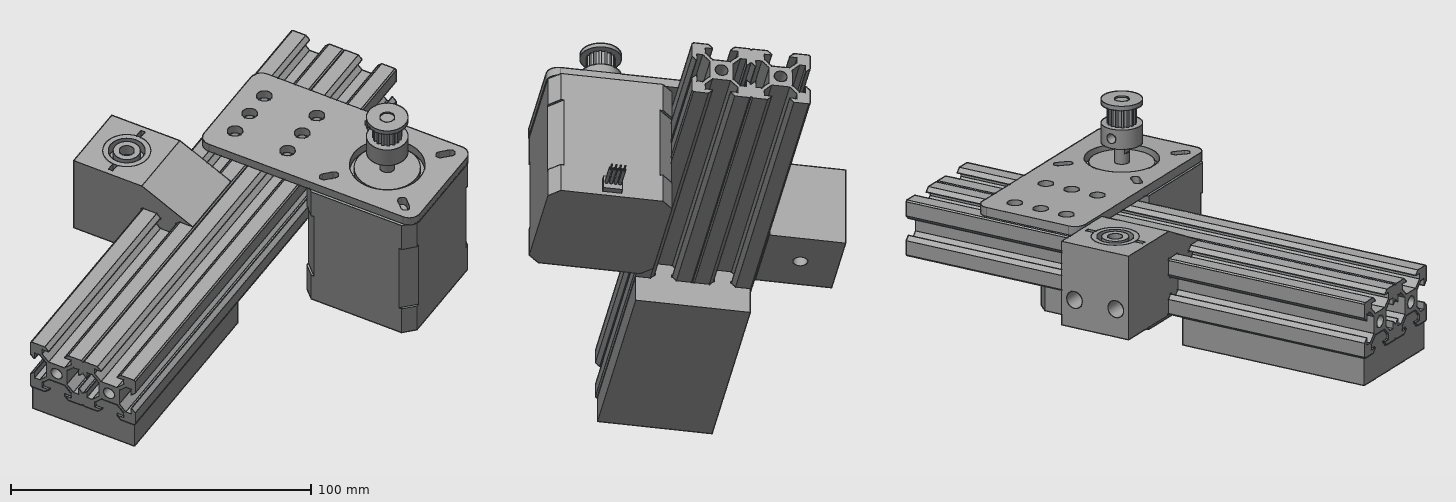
import cadquery as cq
import math

profile_length = 178.0
cell = 20.0
half_cell = cell / 2
slot_mouth_half = 4.5
slot_throat_half = 3.0
lip_thickness = 1.6
slot_room_half = 5.5
core_half = 4.0
rib_offset = core_half - slot_throat_half
core_bore_diameter = 4.3
corner_chamfer = 0.5
slide_clearance = 0.25

bearing_diameter = 16.0
bearing_height = 4.0
outer_race_bore = 12.3
inner_race_diameter = 9.0
shaft_diameter = 5.0

bracket_width = 26.0
bracket_top = cell
bracket_left = -cell - bracket_width
bearing_x = -cell - bracket_width / 2
pry_slot_width = 1.6
pry_slot_length = 22.0
pry_slot_depth = bearing_height
screw_head_diameter = 6.0
screw_diameter = 3.4
screw_spacing = 16.0
screw_head_seat = 5.3

foot_width = 38.8
foot_length = 70.5
foot_height = 10.0
foot_end_gap = 0.5

motor_width = 42.0
motor_height = 47.9
motor_gap = 1.5
motor_x = cell + motor_gap + motor_width / 2
motor_y = 42.7
motor_top = half_cell
end_cap_height = 10.7
end_cap_chamfer = 3.7
stack_chamfer = 4.8
boss_diameter = 22.0
boss_height = 2.0
motor_screw_half_pitch = 15.5
motor_screw_diameter = 2.5
motor_screw_depth = 4.5
drill_point_height = motor_screw_diameter / 2 * math.tan(math.radians(31))
shaft_length = 24.0
shaft_flat_start = 5.7
shaft_flat_depth = 0.5
plug_width = 6.4
plug_height = 4.8
plug_depth = 2.1
plug_z = -34.0
wire_count = 4
wire_pitch = 1.51
wire_diameter = 1.1
wire_length = 8.0
strand_diameter = 0.41
strand_length = 2.1

plate_thickness = 3.2
plate_left = -18.5
plate_right = motor_x + 21.4
plate_width = 2 * cell
plate_corner_radius = 4.1
plate_hole_diameter = 5.2
plate_window_diameter = 25.1
adjust_slot_width = 3.0
adjust_travel = 2.5

pulley_bottom = motor_top + plate_thickness + 5.9
pulley_diameter = 13.9
hub_height = 7.0
tooth_height = 7.0
flange_height = 1.6
tooth_tip_diameter = 9.8
tooth_count = 16
tooth_groove_diameter = 1.1
set_screw_diameter = 3.4

end_plane = cq.Workplane("XZ")


def cylinder(diameter, height, x, y, z):
    return cq.Workplane("XY", origin=(x, y, z)).circle(diameter / 2).extrude(height)


def t_slot(x, angle, growth):
    """One T-slot of the cell at x, turned about its centre. Growth thickens the metal around the slot."""
    mouth_rise = half_cell - slot_mouth_half + growth * math.sqrt(2)
    rib_rise = rib_offset + growth * math.sqrt(2)
    surface = half_cell + growth
    throat = slot_throat_half - growth
    room = slot_room_half - growth
    room_top = half_cell - lip_thickness - growth
    floor = core_half + growth
    right_side = [
        (surface - mouth_rise, surface),
        (throat, throat + mouth_rise),
        (throat, room_top),
        (room, room_top),
        (room, room + rib_rise),
        (floor - rib_rise, floor),
    ]
    left_side = [(-u, v) for u, v in reversed(right_side)]
    slot = end_plane.polyline(right_side + left_side).close().extrude(profile_length / 2, both=True)
    return slot.rotate((0, 0, 0), (0, 1, 0), angle).translate((x, 0, 0))


def make_cell(x, growth=0):
    width = cell + 2 * growth
    body = cq.Workplane("XY").box(width, profile_length, width).edges("|Y").chamfer(corner_chamfer)
    body = body.translate((x, 0, 0))
    for quarter in range(4):
        body = body.cut(t_slot(x, 90 * quarter, growth))
    return body


def make_profile():
    body = make_cell(-half_cell).union(make_cell(half_cell))
    bores = end_plane.rarray(cell, 1.8, 2, 1).circle(core_bore_diameter / 2).extrude(profile_length, both=True)
    return body.cut(bores)


def make_slide_fit():
    """The profile with its metal grown by the sliding clearance."""
    return make_cell(-half_cell, slide_clearance).union(make_cell(half_cell, slide_clearance))


def make_bracket(slide_fit):
    outline = [
        (bracket_left, -half_cell),
        (-cell, -half_cell),
        (-half_cell, 0),
        (0, half_cell),
        (-cell, bracket_top),
        (bracket_left, bracket_top),
    ]
    body = end_plane.polyline(outline).close().extrude(bracket_width / 2, both=True)
    body = body.cut(slide_fit)
    seat_z = bracket_top - bearing_height
    body = body.cut(cylinder(bearing_diameter, bearing_height, bearing_x, 0, seat_z))
    body = body.cut(cylinder(shaft_diameter, 2 * cell, bearing_x, 0, -half_cell))
    pry_slots = cq.Workplane("XY").box(pry_slot_width, pry_slot_length, pry_slot_depth)
    body = body.cut(pry_slots.translate((bearing_x, 0, bracket_top - pry_slot_depth / 2)))
    screws = cq.Workplane("YZ", origin=(bracket_left, 0, 0)).rarray(screw_spacing, 1.8, 2, 1)
    body = body.cut(screws.circle(screw_head_diameter / 2).extrude(bracket_width - screw_head_seat))
    return body.cut(screws.circle(screw_diameter / 2).extrude(bracket_width + half_cell))


def make_race(outer, inner):
    seat = cq.Workplane("XY", origin=(bearing_x, 0, bracket_top - bearing_height))
    return seat.circle(outer / 2).circle(inner / 2).extrude(bearing_height)


def make_foot(slide_fit):
    outline = [
        (-foot_width / 2, -half_cell - foot_height),
        (foot_width / 2, -half_cell - foot_height),
        (foot_width / 2, -half_cell),
        (half_cell, 0),
        (0, -half_cell),
        (-half_cell, 0),
        (-foot_width / 2, -half_cell),
    ]
    front = -profile_length / 2 + foot_end_gap
    body = cq.Workplane("XZ", origin=(0, front, 0)).polyline(outline).close().extrude(-foot_length)
    return body.cut(slide_fit)


def make_plate():
    length = plate_right - plate_left
    body = (
        cq.Workplane("XY")
        .box(length, plate_width, plate_thickness)
        .edges("|Z")
        .fillet(plate_corner_radius)
        .translate((plate_left + length / 2, motor_y, motor_top + plate_thickness / 2))
    )
    underside = cq.Workplane("XY", origin=(0, motor_y, motor_top))
    holes = underside.rarray(cell, half_cell, 2, 3).circle(plate_hole_diameter / 2)
    body = body.cut(holes.extrude(plate_thickness))
    body = body.cut(cylinder(plate_window_diameter, plate_thickness, motor_x, motor_y, motor_top))
    slot_middle = motor_screw_half_pitch - adjust_travel / 2
    slot_length = adjust_travel * math.sqrt(2) + adjust_slot_width
    for side_x in (-1, 1):
        for side_y in (-1, 1):
            centre = (motor_x + side_x * slot_middle, motor_y + side_y * slot_middle, motor_top)
            slot = cq.Workplane("XY", origin=centre).slot2D(slot_length, adjust_slot_width, 45 * side_x * side_y)
            body = body.cut(slot.extrude(plate_thickness))
    return body


def motor_section(height, chamfer, bottom):
    section = cq.Workplane("XY").box(motor_width, motor_width, height, centered=(True, True, False))
    return section.edges("|Z").chamfer(chamfer).translate((motor_x, motor_y, bottom))


def make_motor_wires():
    back = motor_y + motor_width / 2
    plug = cq.Workplane("XZ", origin=(motor_x, back, plug_z)).rect(plug_width, plug_height).extrude(-plug_depth)
    wires = cq.Workplane("XZ", origin=(motor_x, back + plug_depth, plug_z)).rarray(wire_pitch, 1.8, wire_count, 1)
    plug = plug.union(wires.circle(wire_diameter / 2).extrude(-wire_length))
    return plug.union(wires.circle(strand_diameter / 2).extrude(-wire_length - strand_length))


def make_motor_shaft():
    shaft = cylinder(shaft_diameter, shaft_length, motor_x, motor_y, motor_top)
    flat_length = shaft_length - shaft_flat_start
    flat = cq.Workplane("XY").box(shaft_diameter, shaft_diameter, flat_length, centered=(True, True, False))
    flat_y = motor_y - shaft_diameter + shaft_flat_depth
    return shaft.cut(flat.translate((motor_x, flat_y, motor_top + shaft_flat_start)))


def make_motor():
    bottom = motor_top - motor_height
    body = motor_section(motor_height, stack_chamfer, bottom)
    body = body.union(motor_section(end_cap_height, end_cap_chamfer, bottom))
    body = body.union(motor_section(end_cap_height, end_cap_chamfer, motor_top - end_cap_height))
    body = body.union(cylinder(boss_diameter, boss_height, motor_x, motor_y, motor_top))
    hole_profile = [
        (0, 0),
        (motor_screw_diameter / 2, 0),
        (motor_screw_diameter / 2, -motor_screw_depth),
        (0, -motor_screw_depth - drill_point_height),
    ]
    hole = cq.Workplane("XZ").polyline(hole_profile).close().revolve(360, (0, 0), (0, 1))
    for side_x in (-1, 1):
        for side_y in (-1, 1):
            hole_x = motor_x + side_x * motor_screw_half_pitch
            hole_y = motor_y + side_y * motor_screw_half_pitch
            body = body.cut(hole.translate((hole_x, hole_y, motor_top)))
    return body.union(make_motor_shaft()).union(make_motor_wires())


def make_pulley():
    teeth_bottom = pulley_bottom + hub_height
    flange_bottom = teeth_bottom + tooth_height
    teeth = cylinder(tooth_tip_diameter, tooth_height, motor_x, motor_y, teeth_bottom)
    grooves = (
        cq.Workplane("XY", origin=(motor_x, motor_y, teeth_bottom))
        .polarArray(tooth_tip_diameter / 2, 0, 360, tooth_count)
        .circle(tooth_groove_diameter / 2)
        .extrude(tooth_height)
    )
    body = cylinder(pulley_diameter, hub_height, motor_x, motor_y, pulley_bottom)
    body = body.union(teeth.cut(grooves))
    body = body.union(cylinder(pulley_diameter, flange_height, motor_x, motor_y, flange_bottom))
    body = body.cut(cylinder(shaft_diameter, 2 * cell, motor_x, motor_y, pulley_bottom))
    set_screw = (
        cq.Workplane("YZ", origin=(motor_x, motor_y, pulley_bottom + hub_height / 2))
        .circle(set_screw_diameter / 2)
        .extrude(-pulley_diameter)
    )
    return body.cut(set_screw)


profile = make_profile()
slide_fit = make_slide_fit()
bracket = make_bracket(slide_fit)
outer_race = make_race(bearing_diameter, outer_race_bore)
inner_race = make_race(inner_race_diameter, shaft_diameter)
foot = make_foot(slide_fit)
plate = make_plate()
motor = make_motor()
pulley = make_pulley()

result = cq.Compound.makeCompound(
    [
        profile.val(),
        bracket.val(),
        outer_race.val(),
        inner_race.val(),
        foot.val(),
        plate.val(),
        motor.val(),
        pulley.val(),
    ]
)